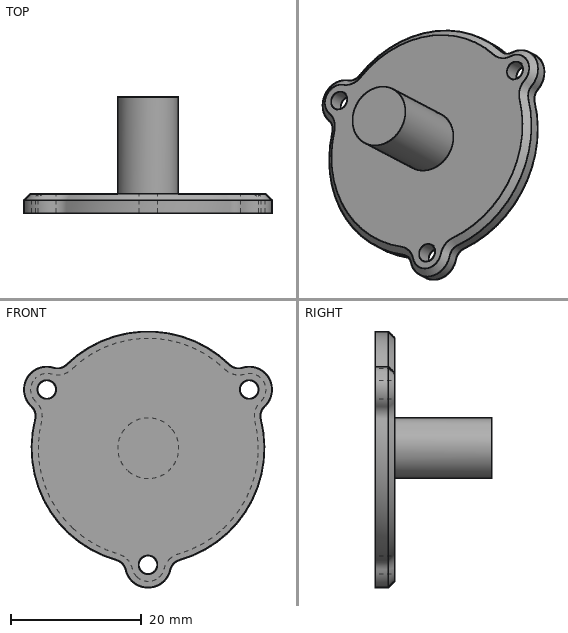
import cadquery as cq
import math

body_radius = 17.8
plate_thickness = 3.0
chamfer_size = 1.0

bolt_circle_radius = 17.85
lug_radius = 3.5
lug_blend_radius = 2.0
screw_hole_diameter = 2.8
lug_angles = [30, 150, 270]

stem_diameter = 9.3
overall_depth = 17.8

lug_centers = [
    (
        bolt_circle_radius * math.cos(math.radians(angle)),
        bolt_circle_radius * math.sin(math.radians(angle)),
    )
    for angle in lug_angles
]


def cylinder_along_y(diameter, length, centers):
    """Cylinders from the flat face toward +Y, at the given (x, z) centers."""
    return (
        cq.Workplane("XZ")
        .pushPoints(centers)
        .circle(diameter / 2)
        .extrude(-length)
    )


def make_plate():
    """Disc with three blended lugs, chamfered around its +Y edge."""
    disc = cylinder_along_y(2 * body_radius, plate_thickness, [(0, 0)])
    lugs = cylinder_along_y(2 * lug_radius, plate_thickness, lug_centers)
    outline = disc.union(lugs)

    corner_offset = math.acos(
        (body_radius**2 + bolt_circle_radius**2 - lug_radius**2)
        / (2 * body_radius * bolt_circle_radius)
    )
    for angle in lug_angles:
        for side in (-1, 1):
            corner_angle = math.radians(angle) + side * corner_offset
            corner = (
                body_radius * math.cos(corner_angle),
                plate_thickness / 2,
                body_radius * math.sin(corner_angle),
            )
            outline = outline.edges(cq.NearestToPointSelector(corner)).fillet(lug_blend_radius)

    return outline.faces(">Y").edges().chamfer(chamfer_size)


plate = make_plate()
stem = cylinder_along_y(stem_diameter, overall_depth, [(0, 0)])
screw_holes = cylinder_along_y(screw_hole_diameter, plate_thickness, lug_centers)

result = plate.union(stem).cut(screw_holes)